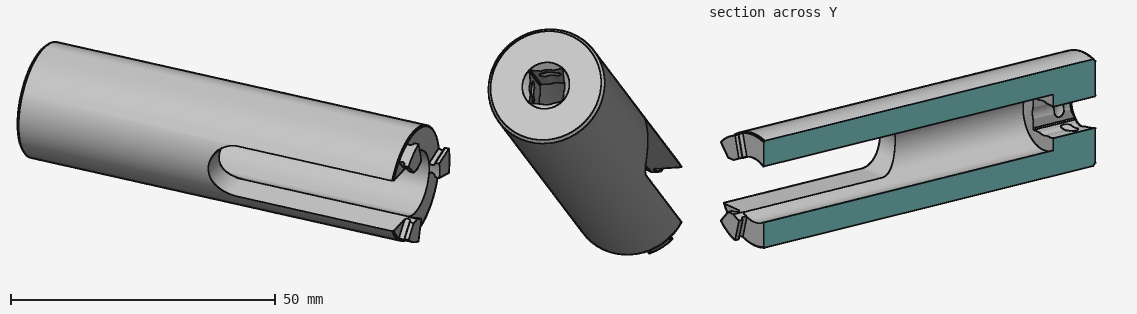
import cadquery as cq
import math

length = 80.0
outer_diameter = 22.5
outer_radius = outer_diameter / 2
tooth_height = 2.2
body_length = length - tooth_height
rear_chamfer = 0.6
front_chamfer = 0.2
bore_radius = 12.8 / 2
bore_start = 10.0

drive_side = 6.5
mouth_radius = 9.1 / 2
corner_radius = 4.4
pilot_radius = 6.9 / 2
drive_lead_in = mouth_radius - pilot_radius
detent_start = 2.7
detent_end = 5.0
detent_depth = 0.4

window_width = 10.9
window_start = 40.0

tooth_count = 3
tooth_inner_radius = 6.5
tooth_root = 0.4
tooth_outer_radius = 11.0
tooth_half_angle = 13.9
scoop_radius = 0.7
scoop_x = body_length + 0.6


def tube():
    body = cq.Workplane("YZ").circle(outer_radius).extrude(body_length)
    body = body.faces("<X").chamfer(rear_chamfer).faces(">X").chamfer(front_chamfer)
    bore = cq.Workplane("YZ", origin=(bore_start, 0, 0)).circle(bore_radius).extrude(length)
    return body.cut(bore)


def drive_socket():
    square = cq.Workplane("YZ").rect(drive_side, drive_side).extrude(bore_start)
    corner_limit = cq.Workplane("YZ").circle(corner_radius).extrude(bore_start)
    detent_middle = (detent_start + detent_end) / 2
    revolved = (
        cq.Workplane("XY")
        .lineTo(0, mouth_radius)
        .lineTo(drive_lead_in, pilot_radius)
        .lineTo(detent_start, pilot_radius)
        .threePointArc((detent_middle, pilot_radius + detent_depth), (detent_end, pilot_radius))
        .lineTo(bore_start, pilot_radius)
        .lineTo(bore_start, 0)
        .close()
        .revolve(360, (0, 0, 0), (1, 0, 0))
    )
    return square.intersect(corner_limit).union(revolved)


def side_window():
    end_radius = window_width / 2
    straight_start = window_start + end_radius
    window = (
        cq.Workplane("XZ")
        .moveTo(length, end_radius)
        .lineTo(straight_start, end_radius)
        .threePointArc((window_start, 0), (straight_start, -end_radius))
        .lineTo(length, -end_radius)
        .close()
    )
    return window.extrude(outer_diameter)


def tooth():
    """One tooth, centred on the +Y direction."""
    angle = math.radians(tooth_half_angle)
    side_y = math.cos(angle)
    side_z = math.sin(angle)
    wedge = (
        cq.Workplane("YZ", origin=(body_length - tooth_root, 0, 0))
        .moveTo(tooth_inner_radius * side_y, -tooth_inner_radius * side_z)
        .lineTo(tooth_outer_radius * side_y, -tooth_outer_radius * side_z)
        .threePointArc((tooth_outer_radius, 0), (tooth_outer_radius * side_y, tooth_outer_radius * side_z))
        .lineTo(tooth_inner_radius * side_y, tooth_inner_radius * side_z)
        .threePointArc((tooth_inner_radius, 0), (tooth_inner_radius * side_y, -tooth_inner_radius * side_z))
        .close()
        .extrude(tooth_root + tooth_height)
    )
    for side in (-1, 1):
        radial = cq.Vector(0, side_y, side * side_z)
        scoop = cq.Solid.makeCylinder(scoop_radius, outer_radius, cq.Vector(scoop_x, 0, 0), radial)
        wedge = wedge.cut(cq.Workplane(scoop))
    return wedge


result = tube().cut(drive_socket())
for index in range(tooth_count):
    result = result.union(tooth().rotate((0, 0, 0), (1, 0, 0), index * 360 / tooth_count))
result = result.cut(side_window())